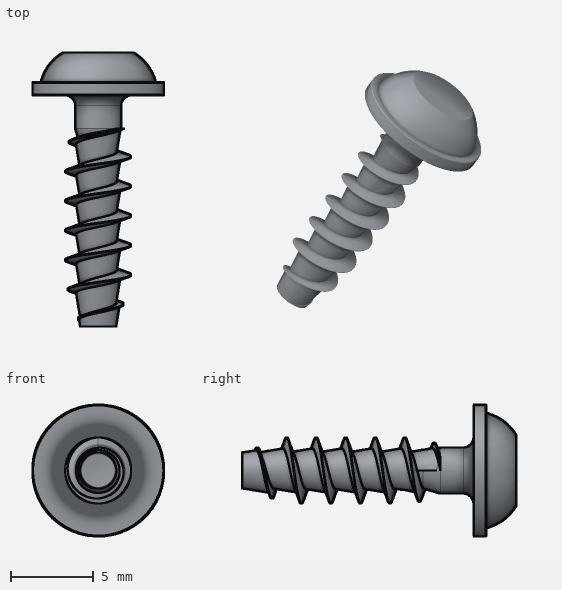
import cadquery as cq
import math


head_height = 2.6
flange_radius = 4.0
flange_thickness = 0.8
flange_edge_chamfer = 0.05
dome_base_radius = 3.5
dome_mid_radius = 3.14
dome_mid_height = 1.63
dome_top_radius = 2.15

shank_length = 14.0
neck_radius = 1.4
neck_length = 2.0
neck_fillet_radius = 0.6
neck_taper_length = 1.05
core_radius = 1.1
tip_dish_radius = 1.02
tip_dish_depth = 0.07

pitch = 1.79
crest_radius = 2.0
crest_half_width = 0.02
flank_angle = math.radians(18)
buried_radius = 0.9
start_angle = math.radians(90)
lead_in_turns = 1.5
full_turns = 4.25
run_out_turns = 1.0
lead_in_crest_radius = 1.07
run_out_crest_radius = 1.58

root_high_radius = 1.38
root_low_radius = 1.09
root_slope_length = 1.77
root_slope = (root_high_radius - root_low_radius) / root_slope_length

points_per_turn = 12
tip_z = -shank_length
thread_top_z = -neck_length


def revolve(outline):
    """Revolve a closed half outline in the XZ plane about Z."""
    return outline.close().revolve(360, (0, 0, 0), (0, 1, 0))


def helical_solid(start_section, end_section, first_turn, turns):
    """Wind a section of (radius, height) corners about Z, blending evenly from start to end."""
    steps = math.ceil(turns * points_per_turn)

    def corner_path(start, end):
        points = []
        for step in range(steps + 1):
            share = step / steps
            turn = first_turn + share * turns
            angle = start_angle + 2 * math.pi * turn
            radius = start[0] + share * (end[0] - start[0])
            height = start[1] + share * (end[1] - start[1]) + tip_z + pitch * turn
            points.append(cq.Vector(radius * math.cos(angle), radius * math.sin(angle), height))
        return cq.Edge.makeSpline(points)

    paths = [corner_path(start, end) for start, end in zip(start_section, end_section)]
    faces = [cq.Face.makeRuledSurface(a, b) for a, b in zip(paths, paths[1:] + paths[:1])]
    for end_position in (0, 1):
        corners = [path.positionAt(end_position) for path in paths]
        faces.append(cq.Face.makeFromWires(cq.Wire.makePolygon(corners, close=True)))
    solid = cq.Solid.makeSolid(cq.Shell.makeShell(faces))
    return cq.Workplane(solid.fix())


def ridge_section(radius):
    """Thread ridge with the given crest radius, its foot buried in the core."""
    foot_half_width = crest_half_width + (radius - buried_radius) * math.tan(flank_angle)
    return [
        (buried_radius, -foot_half_width),
        (radius, -crest_half_width),
        (radius, crest_half_width),
        (buried_radius, foot_half_width),
    ]


def make_head():
    arc_middle = (dome_mid_radius, dome_mid_height)
    outline = (
        cq.Workplane("XZ")
        .lineTo(flange_radius - flange_edge_chamfer, 0)
        .lineTo(flange_radius, flange_edge_chamfer)
        .lineTo(flange_radius, flange_thickness - flange_edge_chamfer)
        .lineTo(flange_radius - flange_edge_chamfer, flange_thickness)
        .lineTo(dome_base_radius, flange_thickness)
        .threePointArc(arc_middle, (dome_top_radius, head_height))
        .lineTo(0, head_height)
    )
    return revolve(outline)


def make_core():
    outline = (
        cq.Workplane("XZ")
        .moveTo(0, tip_z)
        .lineTo(core_radius, tip_z)
        .lineTo(core_radius, thread_top_z - neck_taper_length)
        .lineTo(neck_radius, thread_top_z)
        .lineTo(neck_radius, -neck_fillet_radius)
        .radiusArc((neck_radius + neck_fillet_radius, 0), neck_fillet_radius)
        .lineTo(0, 0)
    )
    return revolve(outline)


def make_sloping_root():
    section = [
        (buried_radius, 0),
        (buried_radius, -root_slope_length),
        (root_low_radius, -root_slope_length),
        (root_high_radius, 0),
    ]
    turns = lead_in_turns + full_turns + run_out_turns
    root = helical_solid(section, section, 0, turns)
    cone_length = (neck_radius - core_radius) / root_slope
    limit = (
        cq.Workplane("XZ")
        .moveTo(0, tip_z)
        .lineTo(core_radius, tip_z)
        .lineTo(neck_radius, tip_z + cone_length)
        .lineTo(neck_radius, thread_top_z)
        .lineTo(0, thread_top_z)
    )
    return root.intersect(revolve(limit))


def make_thread_parts():
    crest_radii = [lead_in_crest_radius, crest_radius, crest_radius, run_out_crest_radius]
    stretches = [lead_in_turns, full_turns, run_out_turns]
    limit = (
        cq.Workplane("XY", origin=(0, 0, tip_z))
        .circle(flange_radius)
        .extrude(thread_top_z - tip_z)
    )
    parts = []
    first_turn = 0
    for start, end, turns in zip(crest_radii, crest_radii[1:], stretches):
        ridge = helical_solid(ridge_section(start), ridge_section(end), first_turn, turns)
        parts.append(ridge.intersect(limit))
        first_turn += turns
    return parts


def make_tip_dish():
    """Ball whose cap hollows the end face of the tip."""
    ball_radius = (tip_dish_radius**2 + tip_dish_depth**2) / (2 * tip_dish_depth)
    ball_z = tip_z + tip_dish_depth - ball_radius
    return cq.Workplane("XY", origin=(0, 0, ball_z)).sphere(ball_radius)


screw = make_core().union(make_sloping_root())
for thread_part in make_thread_parts():
    screw = screw.union(thread_part, clean=False)
screw = screw.union(make_head()).cut(make_tip_dish())
result = screw.rotate((0, 0, 0), (1, 0, 0), -90)